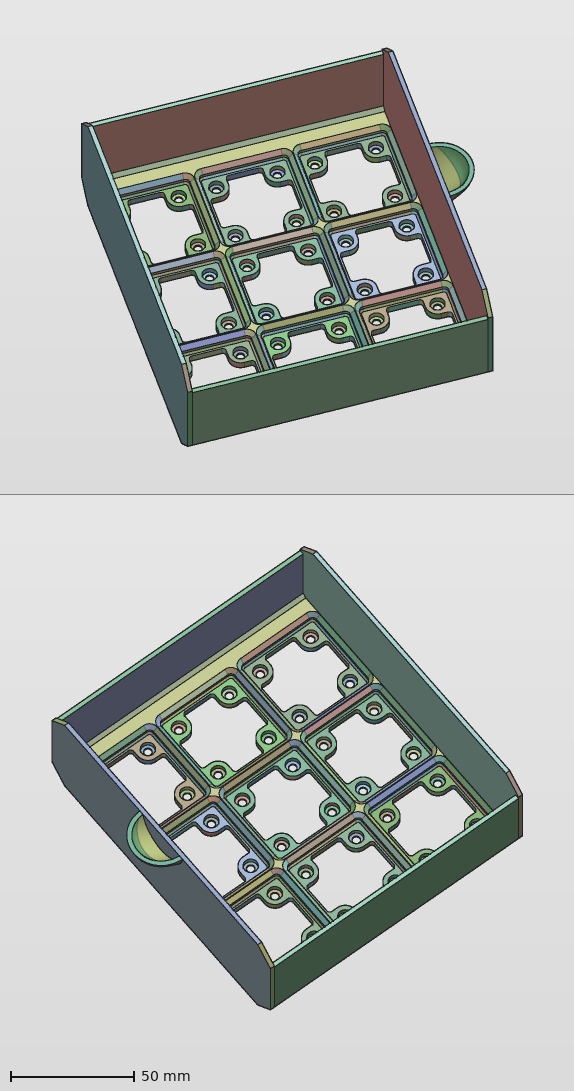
import cadquery as cq
import math

LENGTH = 144.4
DEPTH = 130.0
HEIGHT = 52.8
SHEET = 2.0
CORNER = 8.4
WALL_TOP = 43.5
INNER_DEPTH = DEPTH - 2 * SHEET
FLANGE_SHIFT = SHEET * math.sqrt(2)

CELLS = 3
PITCH = INNER_DEPTH / CELLS
FLOOR = 7.5
RIM = 0.1
POCKET = PITCH - 2 * RIM
POCKET_RADIUS = 3.9
UPPER_SLOPE = 1.9
STRAIGHT = 1.5
LOWER_SLOPE = 0.9
POCKET_DEPTH = UPPER_SLOPE + STRAIGHT + LOWER_SLOPE
LEDGE = FLOOR - POCKET_DEPTH

OPENING = 34.5
OPENING_RADIUS = 1.5
HOLE_PITCH = 26.0
PAD_RADIUS = 5.2
MAGNET_DIAMETER = 6.2
MAGNET_DEPTH = 2.5
SCREW_DIAMETER = 3.5

SCOOP_REACH = 14.0
SCOOP_LIFT = 2.9
SCOOP_RADIUS = math.hypot(SCOOP_REACH, SCOOP_LIFT)
SCOOP_TILT = 40.0


def end_panel(front_y):
    """Upright plate with four chamfered corners."""
    return (
        cq.Workplane("XY")
        .box(LENGTH, SHEET, HEIGHT, centered=False)
        .edges("|Y")
        .chamfer(CORNER)
        .translate((0, front_y, 0))
    )


def side_wall():
    """Left wall: an upright sheet whose lower end turns inward at 45 degrees down to the underside."""
    outline = [
        (0, WALL_TOP),
        (0, CORNER),
        (CORNER, 0),
        (CORNER + FLANGE_SHIFT, 0),
        (SHEET, CORNER + FLANGE_SHIFT - SHEET),
        (SHEET, WALL_TOP),
    ]
    return (
        cq.Workplane("XZ", origin=(0, SHEET, 0))
        .polyline(outline)
        .close()
        .extrude(-INNER_DEPTH)
    )


def pocket_step(top_size, top_radius, top_z, depth, inset):
    """One downward step of a pocket, narrowing by `inset` on each side."""
    section = cq.Sketch().rect(top_size, top_size).vertices().fillet(top_radius)
    taper = math.degrees(math.atan2(inset, depth))
    return cq.Workplane("XY", origin=(0, 0, top_z)).placeSketch(section).extrude(-depth, taper=taper)


def cell_pocket():
    """Stepped pocket: slope, straight stretch and lower slope."""
    narrow = POCKET - 2 * UPPER_SLOPE
    narrow_radius = POCKET_RADIUS - UPPER_SLOPE
    straight_z = FLOOR - UPPER_SLOPE
    lower_z = straight_z - STRAIGHT
    upper = pocket_step(POCKET, POCKET_RADIUS, FLOOR, UPPER_SLOPE, UPPER_SLOPE)
    straight = pocket_step(narrow, narrow_radius, straight_z, STRAIGHT, 0)
    lower = pocket_step(narrow, narrow_radius, lower_z, LOWER_SLOPE, LOWER_SLOPE)
    return upper.union(straight).union(lower)


def cell_opening():
    """Cross-shaped opening that leaves a rounded pad around each corner hole."""
    pad_edge = HOLE_PITCH / 2 - PAD_RADIUS
    lengthwise = cq.Workplane("XY").rect(OPENING, 2 * pad_edge).extrude(LEDGE)
    crosswise = cq.Workplane("XY").rect(2 * pad_edge, OPENING).extrude(LEDGE)
    just_inside = OPENING / 2 - OPENING_RADIUS
    centre_box = cq.selectors.BoxSelector(
        (-just_inside, -just_inside, 0),
        (just_inside, just_inside, LEDGE),
    )
    return (
        lengthwise.edges("|Z")
        .fillet(OPENING_RADIUS)
        .union(crosswise.edges("|Z").fillet(OPENING_RADIUS))
        .edges("|Z")
        .edges(centre_box)
        .fillet(PAD_RADIUS)
    )


def cell_holes():
    """Counterbored hole in each pad."""
    holes = cq.Workplane("XY").rect(HOLE_PITCH, HOLE_PITCH, forConstruction=True).vertices()
    screws = holes.circle(SCREW_DIAMETER / 2).extrude(LEDGE)
    magnets = holes.circle(MAGNET_DIAMETER / 2).extrude(MAGNET_DEPTH)
    return screws.union(magnets.translate((0, 0, LEDGE - MAGNET_DEPTH)))


def cell_centres():
    """Plan positions of the cell centres, row by row."""
    first = -(CELLS - 1) / 2 * PITCH
    offsets = [first + index * PITCH for index in range(CELLS)]
    return [(LENGTH / 2 + x, DEPTH / 2 + y, 0) for y in offsets for x in offsets]


def grid_base():
    """Flat base between the wall flanges, with a grid of pockets."""
    half_bottom = LENGTH / 2 - CORNER - FLANGE_SHIFT
    half_top = half_bottom + FLOOR
    outline = [(-half_bottom, 0), (half_bottom, 0), (half_top, FLOOR), (-half_top, FLOOR)]
    base = (
        cq.Workplane("XZ", origin=(LENGTH / 2, SHEET, 0))
        .polyline(outline)
        .close()
        .extrude(-INNER_DEPTH)
    )
    cell = cell_pocket().union(cell_opening()).union(cell_holes())
    for centre in cell_centres():
        base = base.cut(cell.translate(centre))
    return base


def tilted_capsule(radius):
    """Ball centred above the panel's outer face, with a cylinder running from it down and inward."""
    centre = cq.Vector(LENGTH / 2, DEPTH, HEIGHT + SCOOP_LIFT)
    tilt = math.radians(SCOOP_TILT)
    direction = cq.Vector(0, -math.cos(tilt), -math.sin(tilt))
    ball = cq.Workplane("XY").sphere(radius).translate(centre)
    stem = cq.Workplane(cq.Solid.makeCylinder(radius, HEIGHT, centre, direction))
    return ball.union(stem)


def scoop_handle():
    """Hollow half bowl on the outside of the back panel, cut off level with the panel top."""
    space = cq.Workplane("XY", origin=(0, DEPTH, 0)).box(LENGTH, DEPTH, HEIGHT, centered=False)
    outer = tilted_capsule(SCOOP_RADIUS)
    hollow = tilted_capsule(SCOOP_RADIUS - SHEET)
    return space.intersect(outer).cut(hollow)


front_panel = end_panel(0)
back_panel = end_panel(DEPTH - SHEET)
left_wall = side_wall()
right_wall = left_wall.mirror("YZ", (LENGTH / 2, 0, 0))
base = grid_base()
scoop = scoop_handle()

result = cq.Compound.makeCompound(
    [
        front_panel.val(),
        back_panel.val(),
        left_wall.val(),
        right_wall.val(),
        base.val(),
        scoop.val(),
    ]
)